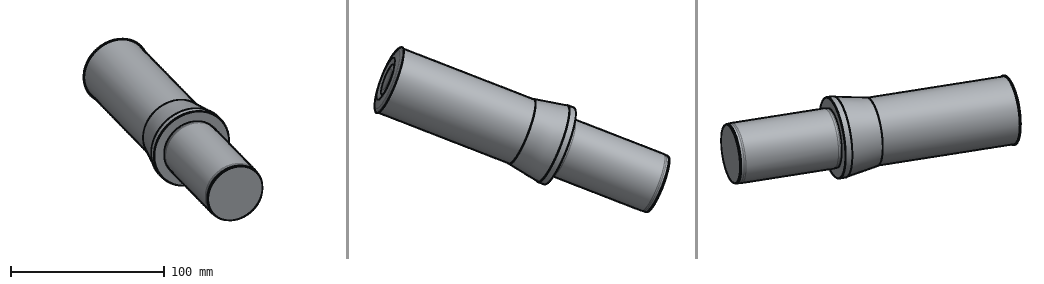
import cadquery as cq

overall_length = 194.0
tip_back_x = 2.7
cone_start_x = 96.6
flange_front_x = 119.3
flange_back_x = 124.0
shank_start_x = 126.5
shank_end_x = 190.1

tip_diameter = 46.2
tip_corner_diameter = 40.7
tip_bevel_diameter = 44.0
crown_diameter = 29.5
valley_diameter = 21.1
inner_crown_diameter = 14.5
body_diameter = 45.0
cone_start_diameter = 45.5
cone_end_diameter = 53.4
flange_diameter = 54.0
shank_diameter = 40.0
undercut_diameter = 39.5
pilot_diameter = 39.5

tip_corner_x = 1.0
tip_bevel_x = 1.5
tip_rim_x = 2.3
valley_depth = 1.2
inner_crown_depth = 0.5
center_depth = 1.2
cone_step_length = 0.4
flange_chamfer = 0.4
undercut_ramp = 1.4
pilot_ramp = 1.2
end_chamfer = 1.0
end_chamfer_height = 0.4


def revolve_about_x(profile):
    """Turn a closed half profile, drawn as (x, radius), about the X axis."""
    return profile.close().revolve(360, (0, 0, 0), (1, 0, 0))


def make_cutting_tip():
    """Disc with a W-shaped cutting face and a double-bevelled outer corner."""
    profile = (
        cq.Workplane("XY")
        .moveTo(center_depth, 0)
        .lineTo(inner_crown_depth, inner_crown_diameter / 2)
        .lineTo(valley_depth, valley_diameter / 2)
        .lineTo(0, crown_diameter / 2)
        .lineTo(tip_corner_x, tip_corner_diameter / 2)
        .lineTo(tip_bevel_x, tip_bevel_diameter / 2)
        .lineTo(tip_rim_x, tip_diameter / 2)
        .lineTo(tip_back_x, tip_diameter / 2)
        .lineTo(tip_back_x, 0)
    )
    return revolve_about_x(profile)


def make_holder():
    """Tool body with a flared flange, an undercut and a clamping shank."""
    body_radius = body_diameter / 2
    flange_radius = flange_diameter / 2
    undercut_radius = undercut_diameter / 2
    shank_radius = shank_diameter / 2
    pilot_radius = pilot_diameter / 2
    profile = (
        cq.Workplane("XY")
        .moveTo(tip_back_x, 0)
        .lineTo(tip_back_x, body_radius)
        .lineTo(cone_start_x, body_radius)
        .lineTo(cone_start_x + cone_step_length, cone_start_diameter / 2)
        .lineTo(flange_front_x - cone_step_length, cone_end_diameter / 2)
        .lineTo(flange_front_x, flange_radius)
        .lineTo(flange_back_x - flange_chamfer, flange_radius)
        .lineTo(flange_back_x, flange_radius - flange_chamfer)
        .lineTo(flange_back_x, undercut_radius)
        .lineTo(shank_start_x - undercut_ramp, undercut_radius)
        .lineTo(shank_start_x, shank_radius)
        .lineTo(shank_end_x, shank_radius)
        .lineTo(shank_end_x + pilot_ramp, pilot_radius)
        .lineTo(overall_length - end_chamfer, pilot_radius)
        .lineTo(overall_length, pilot_radius - end_chamfer_height)
        .lineTo(overall_length, 0)
    )
    return revolve_about_x(profile)


cutting_tip = make_cutting_tip()
holder = make_holder()

result = cq.Compound.makeCompound([cutting_tip.val(), holder.val()])